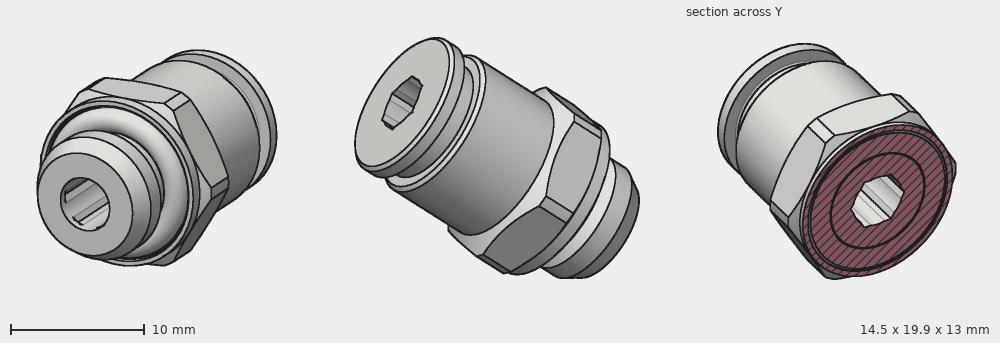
import cadquery as cq
import math

length = 19.9

neck_radius = 4.04
nose_radius = 4.84
nose_taper_end = 1.41
nose_land_end = 3.0
neck_start = 3.8

collar_start = 5.0
collar_end = 6.03
hex_across_flats = 13.0
collar_radius = hex_across_flats / 2
recess_radius = 6.0
recess_chamfer = 0.12
seal_tube_radius = 0.95
seal_center_radius = 4.95
seal_center_y = 5.25

hex_corner_diameter = 14.5
hex_corner_radius = hex_corner_diameter / 2
hex_end = 9.97
hex_chamfer_angle = math.radians(30)

body_radius = 5.85
body_end = 16.97
body_chamfer = 0.3

sleeve_radius = 4.78
sleeve_end = 18.29
sleeve_neck_radius = 4.62
groove_fillet = 0.15
flange_radius = 5.71
flange_start = 18.65
flange_chamfer = 0.28

bore_radius = 2.09
key_across_flats = 4.0
key_start = 0.74


def revolve_about_y(points):
    return cq.Workplane("XY").polyline(points).close().revolve(360, (0, 0, 0), (0, 1, 0))


def hex_prism(across_flats, start, end):
    """Hexagonal prism along Y with corners on the +X and -X sides."""
    across_corners = across_flats / math.cos(math.pi / 6)
    return (
        cq.Workplane("XZ", origin=(0, start, 0))
        .polygon(6, across_corners)
        .extrude(start - end)
    )


def make_nose_and_collar():
    recess_floor = seal_center_y + seal_tube_radius / 2
    return revolve_about_y([
        (0, 0),
        (neck_radius, 0),
        (nose_radius, nose_taper_end),
        (nose_radius, nose_land_end),
        (neck_radius, neck_start),
        (neck_radius, recess_floor),
        (recess_radius, recess_floor),
        (recess_radius, collar_start + recess_chamfer),
        (recess_radius + recess_chamfer, collar_start),
        (collar_radius, collar_start),
        (collar_radius, collar_end),
        (0, collar_end),
    ])


def make_seal_ring():
    return (
        cq.Workplane("XY")
        .center(seal_center_radius, seal_center_y)
        .circle(seal_tube_radius)
        .revolve(360, (-seal_center_radius, 0, 0), (-seal_center_radius, 1, 0))
    )


def make_hexagon():
    """Hexagon with turned corners and conical chamfers on both ends."""
    slope = math.tan(hex_chamfer_angle)
    front_corner = collar_end + (hex_corner_radius - collar_radius) * slope
    back_corner = hex_end - (hex_corner_radius - body_radius) * slope
    envelope = revolve_about_y([
        (0, collar_end),
        (collar_radius, collar_end),
        (hex_corner_radius, front_corner),
        (hex_corner_radius, back_corner),
        (body_radius, hex_end),
        (0, hex_end),
    ])
    return hex_prism(hex_across_flats, collar_end, hex_end).intersect(envelope)


def make_body_and_sleeve():
    fillet_start = flange_start - groove_fillet
    fillet_middle = groove_fillet * math.sin(math.radians(45))
    return (
        cq.Workplane("XY")
        .moveTo(0, hex_end)
        .lineTo(body_radius, hex_end)
        .lineTo(body_radius, body_end - body_chamfer)
        .lineTo(body_radius - body_chamfer, body_end)
        .lineTo(sleeve_radius, body_end)
        .lineTo(sleeve_radius, sleeve_end)
        .lineTo(sleeve_neck_radius, fillet_start)
        .threePointArc(
            (sleeve_neck_radius + groove_fillet - fillet_middle, fillet_start + fillet_middle),
            (sleeve_neck_radius + groove_fillet, flange_start),
        )
        .lineTo(flange_radius, flange_start)
        .lineTo(flange_radius, length - flange_chamfer)
        .lineTo(flange_radius - flange_chamfer, length)
        .lineTo(0, length)
        .close()
        .revolve(360, (0, 0, 0), (0, 1, 0))
    )


def make_passage():
    """Round bore with the corners of a hexagonal key socket beyond its mouth."""
    bore = cq.Workplane("XZ").circle(bore_radius).extrude(-length)
    return bore.union(hex_prism(key_across_flats, key_start, length))


result = (
    make_nose_and_collar()
    .union(make_seal_ring())
    .union(make_hexagon())
    .union(make_body_and_sleeve())
    .cut(make_passage())
)